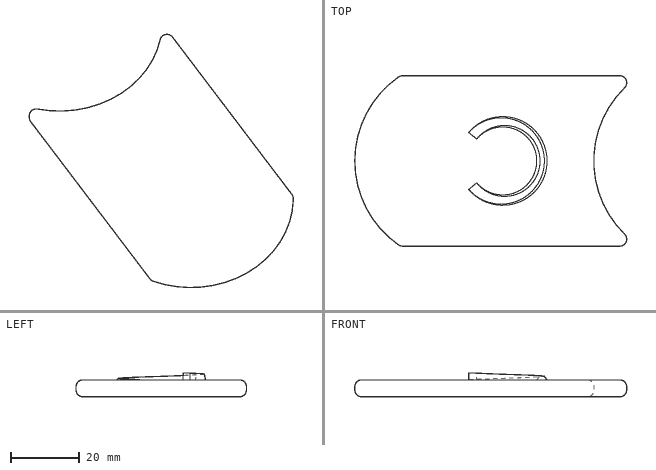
import cadquery as cq
import math

length = 79.75
width = 50.0
plate_thickness = 5.0
rim_radius = 2.1
left_corner_x = 14.0
concave_middle_x = 68.0

ring_center_x = 43.4
ring_outer_radius = 13.0
ring_inner_radius = 10.0
ring_half_angle = 140.0
ring_low_height = 0.1
ring_high_height = 2.0
outer_wall_lean = 0.8
inner_wall_lean = 0.95
curve_intervals = 24


def make_plate():
    """Plate with one convex and one concave end and a rounded rim."""
    flat_half_width = width / 2 - rim_radius
    right_corner_x = length - rim_radius
    outline = (
        cq.Workplane("XY")
        .moveTo(left_corner_x, -flat_half_width)
        .lineTo(right_corner_x, -flat_half_width)
        .threePointArc((concave_middle_x, 0), (right_corner_x, flat_half_width))
        .lineTo(left_corner_x, flat_half_width)
        .threePointArc((rim_radius, 0), (left_corner_x, -flat_half_width))
        .close()
        .offset2D(rim_radius, "arc")
    )
    return outline.extrude(plate_thickness).faces("|Z").edges().fillet(rim_radius)


def ring_edge(base_radius, middle_lean, is_top):
    """Long edge of the ring, from its high end to its low end."""
    end_cosine = math.cos(math.radians(ring_half_angle))
    points = []
    for i in range(curve_intervals + 1):
        progress = i / curve_intervals
        angle = math.radians(ring_half_angle * (2 * progress - 1))
        radius = base_radius
        z = plate_thickness
        if is_top:
            radius += middle_lean * (math.cos(angle) - end_cosine) / (1 - end_cosine)
            z += ring_high_height + (ring_low_height - ring_high_height) * progress
        x = ring_center_x + radius * math.cos(angle)
        y = radius * math.sin(angle)
        points.append(cq.Vector(x, y, z))
    return cq.Edge.makeSpline(points)


def make_ring():
    """Ramp-shaped open ring resting on the plate."""
    edges = [
        ring_edge(ring_outer_radius, 0, False),
        ring_edge(ring_outer_radius, -outer_wall_lean, True),
        ring_edge(ring_inner_radius, inner_wall_lean, True),
        ring_edge(ring_inner_radius, 0, False),
    ]
    following_edges = edges[1:] + edges[:1]
    faces = [cq.Face.makeRuledSurface(a, b) for a, b in zip(edges, following_edges)]
    for corners in ([e.startPoint() for e in edges], [e.endPoint() for e in edges]):
        faces.append(cq.Face.makeFromWires(cq.Wire.makePolygon(corners, close=True)))
    return cq.Solid.makeSolid(cq.Shell.makeShell(faces)).fix()


plate = make_plate()
ring = make_ring()

result = cq.Compound.makeCompound([plate.val(), ring])